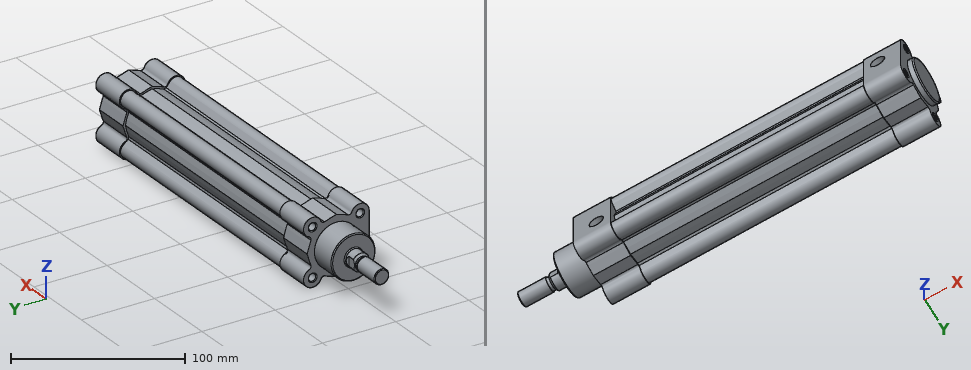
import cadquery as cq
import math


TOTAL_LENGTH = 271.0
FRONT_FACE_X = 48.0
COLLAR_LENGTH = 18.2
CAP_LENGTH = 25.0
REAR_BOSS_LENGTH = 4.0
COLLAR_FACE_X = FRONT_FACE_X - COLLAR_LENGTH
REAR_FACE_X = TOTAL_LENGTH - REAR_BOSS_LENGTH
BARREL_START_X = FRONT_FACE_X + CAP_LENGTH
BARREL_END_X = REAR_FACE_X - CAP_LENGTH

LOBE_OFFSET = 16.3
CAP_LOBE_RADIUS = 6.2
BARREL_LOBE_RADIUS = 5.5
CAP_HALF_SIZE = LOBE_OFFSET + CAP_LOBE_RADIUS

CAP_FLOOR = 17.3
CAP_RIDGE_STEP = 0.8
CAP_CREST_RISE = 2.0
CAP_FLOOR_START = (8.0, CAP_FLOOR)
CAP_CREST_END = (6.0, CAP_FLOOR + CAP_RIDGE_STEP)
CAP_PEAK = CAP_FLOOR + CAP_RIDGE_STEP + CAP_CREST_RISE
CAP_LOBE_FILLET = 2.0

COLLAR_RADIUS = 30.0 / 2
COLLAR_CHAMFER = 0.68
REAR_BOSS_CHAMFER = 0.8
LIP_LENGTH = 0.8
LIP_RADIUS = 6.5

BOLT_RADIUS = 2.5
BOLT_CHAMFER = 0.5
PORT_RADIUS = 9.5 / 2
PORT_DEPTH = 10.8
PORT_FROM_BARREL = 9.5
PORT_SIDE_OFFSET = 5.0

BARREL_PEAK = 18.5
BARREL_CREST_DROP = 0.95
BARREL_GROOVE_DROP = 2.3
BARREL_GROOVE_RISE = 0.35
BARREL_CREST_END = (3.8, BARREL_PEAK - BARREL_CREST_DROP)
BARREL_GROOVE_BOTTOM = (7.9, BARREL_PEAK - BARREL_GROOVE_DROP)
BARREL_GROOVE_TOP = (9.5, BARREL_PEAK - BARREL_GROOVE_DROP + BARREL_GROOVE_RISE)

THREAD_RADIUS = 10.0 / 2
THREAD_END_X = 19.0
THREAD_CHAMFER = 0.5
UNDERCUT_RADIUS = 9.0 / 2
SHOULDER_X = 21.0
SHOULDER_CHAMFER = 1.4
ROD_RADIUS = 6.0
FLAT_OFFSET = THREAD_RADIUS
FLAT_END_X = 27.0
FLAT_RAMP = 1.4


def cylinder(start_x, length, radius):
    """Solid cylinder on the part axis, running in +X."""
    return cq.Workplane("YZ").workplane(offset=start_x).circle(radius).extrude(length)


def turned(point, quarter_turns):
    """Point (y, z) turned anticlockwise about the axis by quarter turns."""
    y, z = point
    for _ in range(quarter_turns):
        y, z = -z, y
    return (y, z)


def mirrored_side(half, peak):
    """Side outline from right to left, from its right half listed from the peak outwards."""
    return half[::-1] + [(0, peak)] + [(-u, v) for u, v in half]


def cap_block(start_x):
    """Cap prism: ridged +Z, +Y and -Z sides, a plain -Y port face and four round lobes."""
    half = [CAP_CREST_END, CAP_FLOOR_START, (LOBE_OFFSET, CAP_FLOOR)]
    ridged_side = mirrored_side(half, CAP_PEAK)
    plain_side = [(LOBE_OFFSET, CAP_HALF_SIZE), (-LOBE_OFFSET, CAP_HALF_SIZE)]
    outline = []
    for quarter_turns, side in enumerate([ridged_side, plain_side, ridged_side, ridged_side]):
        corner = (LOBE_OFFSET, LOBE_OFFSET)
        outline += [turned(point, quarter_turns) for point in [corner] + side]
    plane = cq.Workplane("YZ").workplane(offset=start_x)
    core = plane.polyline(outline).close().extrude(CAP_LENGTH)
    lobes = plane.pushPoints(lobe_centres()).circle(CAP_LOBE_RADIUS).extrude(CAP_LENGTH)
    return fillet_lobe_roots(core.union(lobes), start_x + CAP_LENGTH / 2)


def lobe_centres():
    return [(y, z) for y in (-LOBE_OFFSET, LOBE_OFFSET) for z in (-LOBE_OFFSET, LOBE_OFFSET)]


def fillet_lobe_roots(cap, middle_x):
    """Round the inner corners where the lobes rise from the floors of the ridged sides."""
    floor_rise = CAP_FLOOR - LOBE_OFFSET
    root = LOBE_OFFSET - math.sqrt(CAP_LOBE_RADIUS**2 - floor_rise**2)
    for quarter_turns in (0, 2, 3):
        for u in (-root, root):
            y, z = turned((u, CAP_FLOOR), quarter_turns)
            root_edge = cq.NearestToPointSelector((middle_x, y, z))
            cap = cap.edges(root_edge).fillet(CAP_LOBE_FILLET)
    return cap


def cut_bolt_holes(cap, face_x, direction):
    """Chamfered bolt holes through the lobes, entered from face_x along +X or -X."""
    axis = cq.Vector(direction, 0, 0)
    mouth_radius = BOLT_RADIUS + BOLT_CHAMFER
    for y, z in lobe_centres():
        mouth = cq.Vector(face_x, y, z)
        cap = cap.cut(cq.Solid.makeCylinder(BOLT_RADIUS, CAP_LENGTH, mouth, axis))
        cap = cap.cut(cq.Solid.makeCone(mouth_radius, BOLT_RADIUS, BOLT_CHAMFER, mouth, axis))
    return cap


def cut_port(cap, x, z):
    """Blind air port in the -Y face."""
    mouth = cq.Vector(x, -CAP_HALF_SIZE, z)
    return cap.cut(cq.Solid.makeCylinder(PORT_RADIUS, PORT_DEPTH, mouth, cq.Vector(0, 1, 0)))


def make_front_cap():
    collar = cylinder(COLLAR_FACE_X, COLLAR_LENGTH, COLLAR_RADIUS)
    collar = collar.faces("<X").chamfer(COLLAR_CHAMFER)
    lip_start = cq.Vector(COLLAR_FACE_X - LIP_LENGTH, 0, 0)
    lip = cq.Solid.makeCone(ROD_RADIUS, LIP_RADIUS, LIP_LENGTH, lip_start, cq.Vector(1, 0, 0))
    cap = cap_block(FRONT_FACE_X).union(collar).union(cq.Workplane(lip))
    cap = cut_bolt_holes(cap, FRONT_FACE_X, 1)
    cap = cut_port(cap, BARREL_START_X - PORT_FROM_BARREL, -PORT_SIDE_OFFSET)
    rod_hole = cylinder(0, BARREL_START_X, ROD_RADIUS)
    return cap.cut(rod_hole)


def make_rear_cap():
    boss = cylinder(REAR_FACE_X, REAR_BOSS_LENGTH, COLLAR_RADIUS)
    boss = boss.faces(">X").chamfer(REAR_BOSS_CHAMFER)
    cap = cap_block(BARREL_END_X).union(boss)
    cap = cut_bolt_holes(cap, REAR_FACE_X, -1)
    return cut_port(cap, BARREL_END_X + PORT_FROM_BARREL, PORT_SIDE_OFFSET)


def make_barrel():
    """Barrel prism: four equal ridged and grooved sides joined by round lobes."""
    reach = BARREL_LOBE_RADIUS * math.sqrt(0.5)
    lobe_start = (LOBE_OFFSET - reach, LOBE_OFFSET + reach)
    half = [BARREL_CREST_END, BARREL_GROOVE_BOTTOM, BARREL_GROOVE_TOP, lobe_start]
    side = mirrored_side(half, BARREL_PEAK)
    lobe_middle = (-LOBE_OFFSET - reach, LOBE_OFFSET + reach)
    outline = cq.Workplane("YZ").workplane(offset=BARREL_START_X).moveTo(*side[0])
    for quarter_turns in range(4):
        for point in side[1:]:
            outline = outline.lineTo(*turned(point, quarter_turns))
        next_side_start = turned(side[0], quarter_turns + 1)
        outline = outline.threePointArc(turned(lobe_middle, quarter_turns), next_side_start)
    return outline.close().extrude(BARREL_END_X - BARREL_START_X)


def make_rod():
    """Rod with a threaded nose, an undercut and a shoulder; it ends at the barrel."""
    outline = [
        (0, 0),
        (0, THREAD_RADIUS - THREAD_CHAMFER),
        (THREAD_CHAMFER, THREAD_RADIUS),
        (THREAD_END_X, THREAD_RADIUS),
        (THREAD_END_X, UNDERCUT_RADIUS),
        (SHOULDER_X, UNDERCUT_RADIUS),
        (SHOULDER_X, ROD_RADIUS - SHOULDER_CHAMFER),
        (SHOULDER_X + SHOULDER_CHAMFER, ROD_RADIUS),
        (BARREL_START_X, ROD_RADIUS),
        (BARREL_START_X, 0),
    ]
    rod = cq.Workplane("XY").polyline(outline).close().revolve(360, (0, 0, 0), (1, 0, 0))
    for side in (-1, 1):
        rod = rod.cut(wrench_flat_cutter(side))
    return rod


def wrench_flat_cutter(side):
    """Block that leaves a flat facing +Y or -Y, running out in a ramp."""
    outline = [
        (SHOULDER_X, side * FLAT_OFFSET),
        (FLAT_END_X, side * FLAT_OFFSET),
        (FLAT_END_X + FLAT_RAMP, side * ROD_RADIUS),
        (SHOULDER_X, side * ROD_RADIUS),
    ]
    return cq.Workplane("XY").polyline(outline).close().extrude(ROD_RADIUS, both=True)


rod = make_rod()
front_cap = make_front_cap()
barrel = make_barrel()
rear_cap = make_rear_cap()

result = cq.Compound.makeCompound([rod.val(), front_cap.val(), barrel.val(), rear_cap.val()])